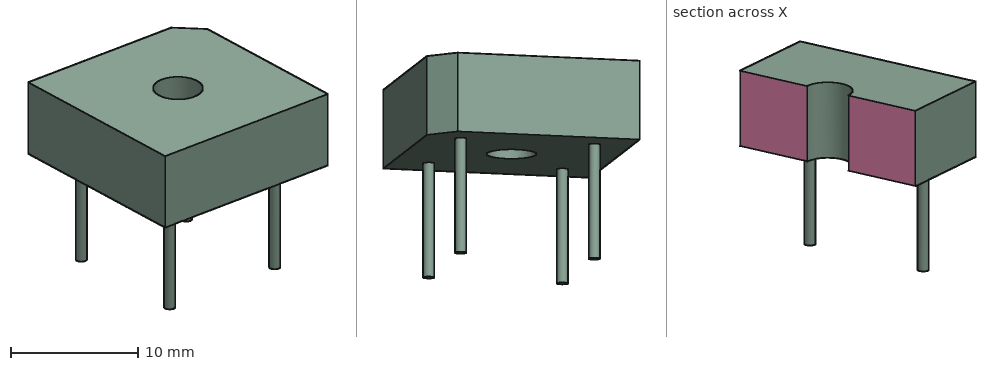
import cadquery as cq

body_side = 16.7
total_height = 15.4
body_height = 6.3
corner_cut = 2.0
hole_diameter = 3.9

pin_diameter = 0.9
pin_spacing = 10.77
pin_length = total_height - body_height


def make_body():
    """Block standing on Z = 0, with a central through hole and a cut -X +Y corner."""
    block = cq.Workplane("XY").box(body_side, body_side, body_height, centered=(True, True, False))
    block = block.edges("|Z").edges("<X").edges(">Y").chamfer(corner_cut)
    return block.faces(">Z").workplane(origin=(0, 0, body_height)).hole(hole_diameter)


def make_pins():
    """Four pins hanging from the underside of the body."""
    return (
        cq.Workplane("XY")
        .rect(pin_spacing, pin_spacing, forConstruction=True)
        .vertices()
        .circle(pin_diameter / 2)
        .extrude(-pin_length)
    )


result = make_body().union(make_pins())